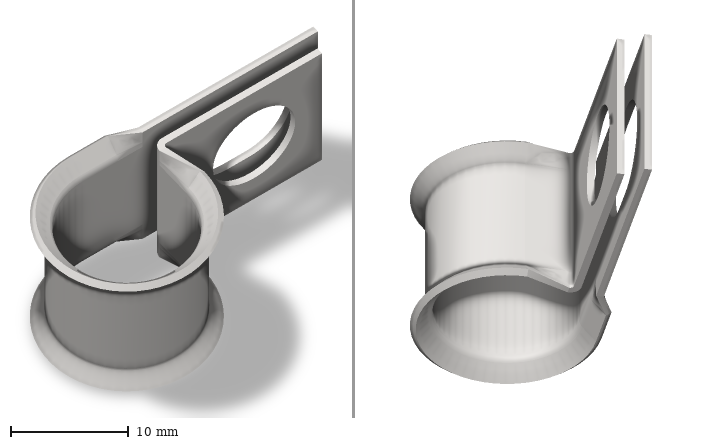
import cadquery as cq
import math

thickness = 0.65
height = 14.27
half_height = height / 2

rim_radius = 16.53 / 2
outer_radius = 14.0 / 2
inner_radius = outer_radius - thickness
loop_sweep = 270

flare_angle = math.radians(42)
flare_bend = 0.23
straight_rim = 3.8

total_length = 33.25
long_leg_start = 6.4
long_leg_end = total_length - rim_radius
short_leg_end = 23.85
short_leg_outside = -4.2
short_leg_inside = short_leg_outside - thickness
leg_bend_inner = 0.33
leg_bend_outer = leg_bend_inner + thickness
bend_start = short_leg_outside + leg_bend_inner

hole_y = 16.63
hole_diameter = 8.7
slot_length = 11.1

flare_sin = math.sin(flare_angle)
flare_cos = math.cos(flare_angle)
bend_outer_r = outer_radius + flare_bend * (1 - flare_cos)
tip_z = half_height - thickness * flare_sin
bend_end_z = tip_z - (rim_radius - bend_outer_r) / math.tan(flare_angle)
bend_start_z = bend_end_z - flare_bend * flare_sin


def bend_point(angle, face_radius):
    """Point on the rim bend, on the arc of the given radius about the bend centre."""
    r = outer_radius + flare_bend - face_radius * math.cos(angle)
    z = bend_start_z + face_radius * math.sin(angle)
    return r, z


def section_plane(origin, outward, normal):
    return cq.Plane(origin=origin, xDir=outward, normal=normal)


def flared_section(plane):
    """Strip section with both edges flared outward."""
    inner_bend = flare_bend + thickness
    half_angle = flare_angle / 2
    outer_mid = bend_point(half_angle, flare_bend)
    outer_end = bend_point(flare_angle, flare_bend)
    inner_mid = bend_point(half_angle, inner_bend)
    inner_end = bend_point(flare_angle, inner_bend)
    tip = (rim_radius, tip_z)
    lip = (rim_radius - thickness * flare_cos, half_height)

    def below(point):
        return point[0], -point[1]

    return (
        cq.Workplane(plane)
        .moveTo(outer_radius, -bend_start_z)
        .lineTo(outer_radius, bend_start_z)
        .threePointArc(outer_mid, outer_end)
        .lineTo(*tip)
        .lineTo(*lip)
        .lineTo(*inner_end)
        .threePointArc(inner_mid, (inner_radius, bend_start_z))
        .lineTo(inner_radius, -bend_start_z)
        .threePointArc(below(inner_mid), below(inner_end))
        .lineTo(*below(lip))
        .lineTo(*below(tip))
        .lineTo(*below(outer_end))
        .threePointArc(below(outer_mid), (outer_radius, -bend_start_z))
        .close()
    )


def flat_section(plane):
    """Plain strip section, split to match the corners of the flared one."""
    inner_end_z = bend_point(flare_angle, flare_bend + thickness)[1]
    outer_heights = [-bend_start_z, bend_start_z, bend_end_z, half_height]
    inner_heights = [half_height, inner_end_z, bend_start_z, -bend_start_z, -inner_end_z, -half_height]
    points = [(outer_radius, z) for z in outer_heights]
    points += [(inner_radius, z) for z in inner_heights]
    points += [(outer_radius, -half_height), (outer_radius, -bend_end_z)]
    return cq.Workplane(plane).polyline(points).close()


def rim_fade(flared_plane, flat_plane):
    """Transition from the flared strip to the flat strip."""
    wires = [flared_section(flared_plane).val(), flat_section(flat_plane).val()]
    return cq.Workplane(cq.Solid.makeLoft(wires, True))


def plate(x_min, x_max, y_min, y_max):
    return (
        cq.Workplane("XY", origin=(0, 0, -half_height))
        .moveTo(x_min, y_min)
        .lineTo(x_max, y_min)
        .lineTo(x_max, y_max)
        .lineTo(x_min, y_max)
        .close()
        .extrude(height)
    )


def long_side_plane(y):
    return section_plane((0, y, 0), (-1, 0, 0), (0, 1, 0))


def short_side_plane(x):
    return section_plane((x, 0, 0), (0, 1, 0), (1, 0, 0))


def leg_bend():
    """Quarter bend joining the flat end of the loop to the short leg."""
    diagonal = math.sqrt(0.5)
    center_y = inner_radius + leg_bend_outer

    def middle(radius):
        return bend_start - radius * diagonal, center_y - radius * diagonal

    return (
        cq.Workplane("XY", origin=(0, 0, -half_height))
        .moveTo(bend_start, inner_radius)
        .threePointArc(middle(leg_bend_outer), (short_leg_inside, center_y))
        .lineTo(short_leg_outside, center_y)
        .threePointArc(middle(leg_bend_inner), (bend_start, outer_radius))
        .close()
        .extrude(height)
    )


def leg_opening(x_start, length):
    """Cutter through one leg: round, or a slot when longer than the hole diameter."""
    drill = cq.Workplane("YZ", origin=(x_start, hole_y, 0))
    if length > hole_diameter:
        return drill.slot2D(length, hole_diameter).extrude(thickness)
    return drill.circle(hole_diameter / 2).extrude(thickness)


loop = flared_section(long_side_plane(0)).revolve(loop_sweep, (0, 0), (0, 1))
straight_run = flared_section(long_side_plane(0)).extrude(straight_rim)

long_fade = rim_fade(long_side_plane(straight_rim), long_side_plane(long_leg_start))
short_fade = rim_fade(short_side_plane(0), short_side_plane(bend_start))

long_leg = plate(-outer_radius, -inner_radius, long_leg_start, long_leg_end)
long_leg = long_leg.cut(leg_opening(-outer_radius, slot_length))
short_leg = plate(short_leg_inside, short_leg_outside, inner_radius + leg_bend_outer, short_leg_end)
short_leg = short_leg.cut(leg_opening(short_leg_inside, hole_diameter))

result = loop
for piece in (straight_run, long_fade, long_leg, short_fade, leg_bend(), short_leg):
    result = result.union(piece)